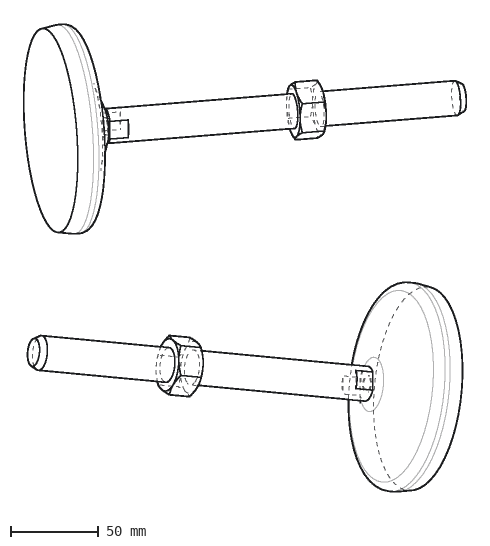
import cadquery as cq
import math

overall_length = 244.0

pad_radius = 60.0
pad_bottom_radius = 58.5
pad_taper_height = 8.8
pad_rim_top = 12.0
rim_round = 5.0
pad_shoulder_height = pad_rim_top + rim_round
shoulder_radius = pad_radius - rim_round
flare_mid_radius = 30.0
flare_mid_height = 22.8
dome_radius = 15.6
dome_start_height = 29.5
dome_top_height = 32.2

neck_diameter = 10.0

spindle_diameter = 20.0
spindle_start = 32.8
tip_diameter = 16.0
tip_chamfer_length = 4.0
wrench_flat_width = 17.0
wrench_flat_length = 10.7

nut_across_flats = 30.0
nut_height = 15.5
nut_start = 143.6
nut_chamfer_angle = 30.0
nut_sides = 6
nut_half_sector = 180 / nut_sides


def cylinder_along_y(diameter, start, end):
    """Cylinder on the Y axis between two Y positions."""
    base = cq.Workplane("XZ", origin=(0, start, 0))
    return base.circle(diameter / 2).extrude(start - end)


def make_pad():
    """Round pad with a tapered skirt, a rounded rim and a flared top that runs tangent into a dome."""
    rim_offset = rim_round * math.sqrt(0.5)
    rim_mid = (shoulder_radius + rim_offset, pad_rim_top + rim_offset)
    profile = (
        cq.Workplane("XY")
        .lineTo(pad_bottom_radius, 0)
        .lineTo(pad_radius, pad_taper_height)
        .lineTo(pad_radius, pad_rim_top)
        .threePointArc(rim_mid, (shoulder_radius, pad_shoulder_height))
        .threePointArc((flare_mid_radius, flare_mid_height), (dome_radius, dome_start_height))
        .tangentArcPoint((neck_diameter / 2, dome_top_height), relative=False)
        .lineTo(0, dome_top_height)
        .close()
    )
    return profile.revolve(360, (0, 0), (0, 1))


def make_spindle():
    """Rod with a tapered tip and two wrench flats facing -X and +X at its lower end."""
    radius = spindle_diameter / 2
    rod = (
        cq.Workplane("XY")
        .moveTo(0, spindle_start)
        .lineTo(radius, spindle_start)
        .lineTo(radius, overall_length - tip_chamfer_length)
        .lineTo(tip_diameter / 2, overall_length)
        .lineTo(0, overall_length)
        .close()
        .revolve(360, (0, 0), (0, 1))
    )
    flat_depth = (spindle_diameter - wrench_flat_width) / 2
    for side in (-1, 1):
        cutter = cq.Workplane("XY").box(flat_depth, wrench_flat_length, spindle_diameter)
        cutter_x = side * (wrench_flat_width + flat_depth) / 2
        rod = rod.cut(cutter.translate((cutter_x, spindle_start + wrench_flat_length / 2, 0)))
    return rod


def make_nut():
    """Hexagonal nut with flats facing -X and +X and conically chamfered corners at both ends."""
    face_radius = nut_across_flats / 2
    corner_radius = face_radius / math.cos(math.radians(nut_half_sector))
    chamfer_height = (corner_radius - face_radius) * math.tan(math.radians(nut_chamfer_angle))
    nut_end = nut_start + nut_height
    hexagon = (
        cq.Workplane("XZ", origin=(0, nut_start, 0))
        .transformed(rotate=(0, 0, nut_half_sector))
        .polygon(nut_sides, 2 * corner_radius)
        .extrude(-nut_height)
    )
    envelope = (
        cq.Workplane("XY")
        .moveTo(0, nut_start)
        .lineTo(face_radius, nut_start)
        .lineTo(corner_radius, nut_start + chamfer_height)
        .lineTo(corner_radius, nut_end - chamfer_height)
        .lineTo(face_radius, nut_end)
        .lineTo(0, nut_end)
        .close()
        .revolve(360, (0, 0), (0, 1))
    )
    return hexagon.intersect(envelope)


neck = cylinder_along_y(neck_diameter, pad_shoulder_height, spindle_start)
result = make_pad().union(neck).union(make_spindle()).union(make_nut())